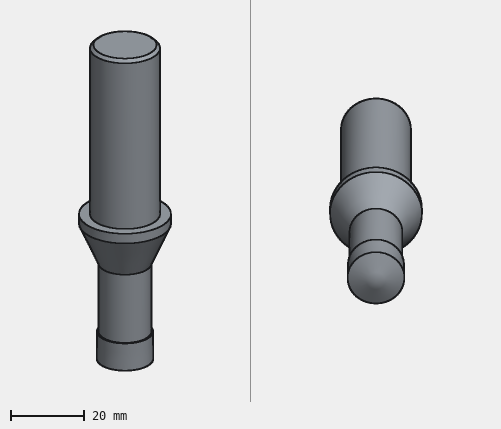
import cadquery as cq

total_height = 97.3
point_height = 2.8
head_top = 11.0
neck_top = 31.5
flange_bottom = 43.5
flange_top = 46.4

head_rim_diameter = 15.5
head_top_diameter = 15.3
neck_diameter = 14.4
flange_diameter = 25.0
shank_diameter = 19.1

shank_chamfer = 1.0


def revolve_profile(profile):
    """Revolve a closed (radius, height) outline about the Z axis."""
    return cq.Workplane("XZ").polyline(profile).close().revolve(360, (0, 0), (0, 1))


def make_cutting_head():
    """Short head, slightly back-tapered, ending in a shallow conical point."""
    rim_radius = head_rim_diameter / 2
    top_radius = head_top_diameter / 2
    return revolve_profile([
        (0, 0),
        (rim_radius, point_height),
        (top_radius, head_top),
        (0, head_top),
    ])


def make_holder():
    """Neck, tapered collar, flange and chamfered shank, standing on the head."""
    neck_radius = neck_diameter / 2
    flange_radius = flange_diameter / 2
    shank_radius = shank_diameter / 2
    return revolve_profile([
        (0, head_top),
        (neck_radius, head_top),
        (neck_radius, neck_top),
        (flange_radius, flange_bottom),
        (flange_radius, flange_top),
        (shank_radius, flange_top),
        (shank_radius, total_height - shank_chamfer),
        (shank_radius - shank_chamfer, total_height),
        (0, total_height),
    ])


cutting_head = make_cutting_head()
holder = make_holder()

result = cq.Compound.makeCompound([cutting_head.val(), holder.val()])